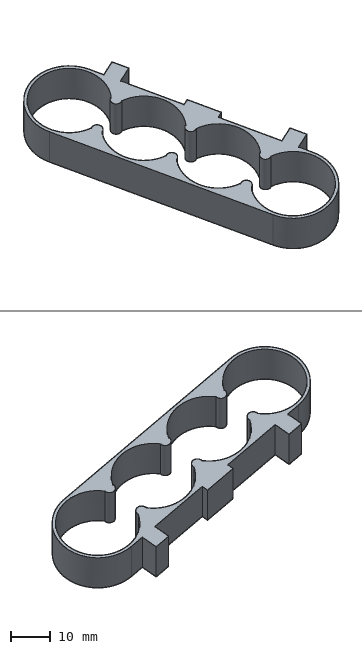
import cadquery as cq

length = 86.0
width = 23.05
height = 11.9

cell_count = 4
wall = 0.9
cell_diameter = width - 2 * wall
cell_pitch = (length - width) / (cell_count - 1)

tip_diameter = 3.0
tip_gap = 8.0
tip_center_y = tip_gap / 2 + tip_diameter / 2

peg_size = 4.7
peg_center_x = 25.0
pad_length = 9.6
pad_depth = 1.8
root_depth = wall / 2


def row_positions(count):
    """X centres of a row of features spaced by the cell pitch about the origin."""
    return [(i - (count - 1) / 2) * cell_pitch for i in range(count)]


def back_block(center_x, block_length, depth):
    """Full-height block standing out from the back face and rooted in the wall."""
    root_y = width / 2 - root_depth
    block_width = root_depth + depth
    return (
        cq.Workplane("XY")
        .center(center_x, root_y + block_width / 2)
        .rect(block_length, block_width)
        .extrude(height)
    )


def web_tips():
    """Round columns that blunt the ends of the webs."""
    centers = [
        (x, side * tip_center_y)
        for x in row_positions(cell_count - 1)
        for side in (-1, 1)
    ]
    return cq.Workplane("XY").pushPoints(centers).circle(tip_diameter / 2).extrude(height)


frame = cq.Workplane("XY").slot2D(length, width).extrude(height)
passage = (
    cq.Workplane("XY")
    .rect((cell_count - 1) * cell_pitch, 2 * tip_center_y)
    .extrude(height)
)
result = frame.cut(passage)
for cell_x in row_positions(cell_count):
    cell = cq.Workplane("XY").center(cell_x, 0).circle(cell_diameter / 2).extrude(height)
    result = result.cut(cell)
result = result.union(web_tips())

for peg_x in (-peg_center_x, peg_center_x):
    result = result.union(back_block(peg_x, peg_size, peg_size))
result = result.union(back_block(0, pad_length, pad_depth))